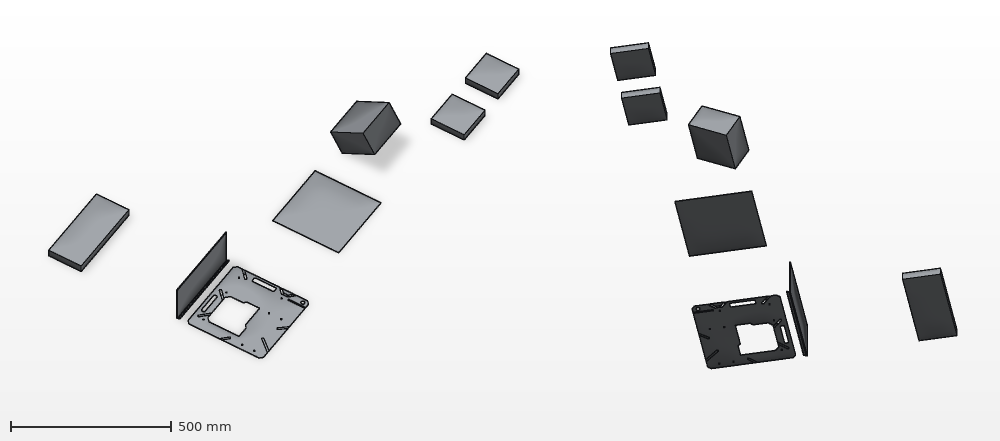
import cadquery as cq
import math

SHEET = 2.0
FAN_SIDE = 120.0

RADIATOR_SIZE = (FAN_SIDE, 275.0, 27.0)

FAN_HEIGHT = 25.0
FANS_END_Y = 1420
FAN_GAP = 78.0
FAR_FAN_X = 709.0
NEAR_FAN_X = 710
NEAR_FAN_WIDTH = 122.0

PANEL_X = 474.0
PANEL_THICKNESS = 3.0
PANEL_LENGTH = 284
PANEL_HEIGHT = 135.0
STRIP_WIDTH = 10.0
STRIP_THICKNESS = 3.0
STRIP_SLOPE = 29

TRAY_X = 510.0
TRAY_SIDE = 280.0
TRAY_CORNER = 10.0

BOARD_SIDE = 244.0
BOARD_Y = 498.0

SUPPLY_LENGTH = 139.0
SUPPLY_DEPTH = 150.0
SUPPLY_HEIGHT = 87.0
SUPPLY_TILT = 30
SUPPLY_X = 498.0
SUPPLY_Y = 849.0

SCREW_DIAMETER = 4.0
SCREW_LEFT, SCREW_MIDDLE, SCREW_RIGHT = 38.0, 196.0, 241.0
SCREW_TOP = 244.0
SCREW_UPPER = 172.0
SCREW_LOWER = 40.0
SCREW_BOTTOM = 17.0
SCREW_POINTS = [
    (SCREW_LEFT, SCREW_TOP),
    (SCREW_MIDDLE, SCREW_TOP),
    (SCREW_LEFT, SCREW_UPPER),
    (SCREW_MIDDLE, SCREW_UPPER),
    (SCREW_RIGHT, SCREW_UPPER),
    (SCREW_LEFT, SCREW_LOWER),
    (SCREW_MIDDLE, SCREW_BOTTOM),
    (SCREW_RIGHT, SCREW_BOTTOM),
]

CORNER_HOLE_DIAMETER = 12.0
CORNER_HOLE_POINT = (261.0, 265.0)

EDGE_SLIT_WIDTH = 4.0
EDGE_SLIT_START = 216.0
EDGE_SLIT_Y = 251.0

HANDLE_ROUND = 4.0
TOP_HANDLE = (80.0, 254.0, 81.0, 17.0)
SIDE_HANDLE = (11.0, 67.0, 13.0, 77.0)

WINDOW_LEFT, WINDOW_RIGHT = 45.0, 169.0
WINDOW_NEAR, WINDOW_FAR = 41.0, 173.0
WINDOW_STEP = 9.0
WINDOW_CORNER = 13.0
FAR_STEP_X = 105.0
RIGHT_STEP_Y = 82.0

GROOVE_WIDTH = 7.0
GROOVE_DEPTH = SHEET / 2
OPEN_LENGTH = 18.0
FORK_LEFT_END = (187.0, 263.0)
FORK_RIGHT_END = (207.0, 263.0)
GROOVES = [
    ((58.0, 253.0), 135, 45.0, True),
    ((18.0, 169.0), -45, 43.0, True),
    (FORK_LEFT_END, 135, 34.0, True),
    (FORK_RIGHT_END, 45, 34.0, True),
    (FORK_LEFT_END, 0, FORK_RIGHT_END[0] - FORK_LEFT_END[0], False),
    ((18.0, 44.0), 45, 43.0, False),
    ((148.0, 20.0), -135, 37.0, False),
    ((254.0, 133.0), 40, 43.0, False),
    ((237.0, 72.0), -40, 65.0, False),
]


def block(corner, size):
    """A box given by its lowest corner and its size."""
    return cq.Workplane("XY").box(*size, centered=False).translate(corner)


def make_fan(x, y, width):
    return block((x, y, 0), (width, FAN_SIDE, FAN_HEIGHT))


def make_tilted_block(x, y, length, depth, height, tilt):
    """A box turned up about its lowest edge, with its leftmost edge at x."""
    lowest_edge_x = x + height * math.sin(math.radians(tilt))
    flat = block((0, 0, 0), (length, depth, height))
    return flat.rotate((0, 0, 0), (0, 1, 0), -tilt).translate((lowest_edge_x, y, 0))


def groove_cut(end, direction, length, depth):
    """A cutter with one round end, sunk from the top of the sheet."""
    radius = GROOVE_WIDTH / 2
    cutter = (
        cq.Workplane("XY")
        .moveTo(0, radius)
        .threePointArc((-radius, 0), (0, -radius))
        .lineTo(length, -radius)
        .lineTo(length, radius)
        .close()
        .extrude(depth)
    )
    turned = cutter.rotate((0, 0, 0), (0, 0, 1), direction)
    return turned.translate((*end, SHEET - depth))


def handle_cut(left, near, length, width):
    return block((left, near, 0), (length, width, SHEET)).edges("|Z").fillet(HANDLE_ROUND)


def window_outline():
    return [
        (WINDOW_LEFT + WINDOW_CORNER, WINDOW_NEAR),
        (WINDOW_RIGHT, WINDOW_NEAR),
        (WINDOW_RIGHT, RIGHT_STEP_Y),
        (WINDOW_RIGHT - WINDOW_STEP, RIGHT_STEP_Y + WINDOW_STEP),
        (WINDOW_RIGHT - WINDOW_STEP, WINDOW_FAR),
        (FAR_STEP_X + WINDOW_STEP, WINDOW_FAR),
        (FAR_STEP_X, WINDOW_FAR - WINDOW_STEP),
        (WINDOW_LEFT + WINDOW_CORNER, WINDOW_FAR - WINDOW_STEP),
        (WINDOW_LEFT, WINDOW_FAR - WINDOW_STEP - WINDOW_CORNER),
        (WINDOW_LEFT, WINDOW_NEAR + WINDOW_CORNER),
    ]


def make_tray():
    tray = block((0, 0, 0), (TRAY_SIDE, TRAY_SIDE, SHEET)).edges("|Z").chamfer(TRAY_CORNER)

    tray = tray.cut(cq.Workplane("XY").polyline(window_outline()).close().extrude(SHEET))
    for handle in (TOP_HANDLE, SIDE_HANDLE):
        tray = tray.cut(handle_cut(*handle))

    screws = cq.Workplane("XY").pushPoints(SCREW_POINTS).circle(SCREW_DIAMETER / 2).extrude(SHEET)
    corner_hole = (
        cq.Workplane("XY").center(*CORNER_HOLE_POINT).circle(CORNER_HOLE_DIAMETER / 2).extrude(SHEET)
    )
    tray = tray.cut(screws).cut(corner_hole)

    slit_size = (TRAY_SIDE - EDGE_SLIT_START, EDGE_SLIT_WIDTH, SHEET)
    tray = tray.cut(block((EDGE_SLIT_START, EDGE_SLIT_Y - EDGE_SLIT_WIDTH / 2, 0), slit_size))

    for end, direction, length, has_opening in GROOVES:
        tray = tray.cut(groove_cut(end, direction, length, GROOVE_DEPTH))
        if has_opening:
            tray = tray.cut(groove_cut(end, direction, OPEN_LENGTH, SHEET))

    return tray.translate((TRAY_X, 0, 0))


radiator = block((0, 0, 0), RADIATOR_SIZE)

far_fan_y = FANS_END_Y - FAN_SIDE
near_fan_y = far_fan_y - FAN_GAP - FAN_SIDE
fans = [
    make_fan(x, y, width)
    for x, y, width in (
        (FAR_FAN_X, far_fan_y, FAN_SIDE),
        (NEAR_FAN_X, near_fan_y, NEAR_FAN_WIDTH),
    )
]

panel = block((PANEL_X, 0, 0), (PANEL_THICKNESS, PANEL_LENGTH, PANEL_HEIGHT))
strip = make_tilted_block(
    PANEL_X + PANEL_THICKNESS, 0, STRIP_WIDTH, PANEL_LENGTH, STRIP_THICKNESS, STRIP_SLOPE
)

tray = make_tray()
board = block((TRAY_X, BOARD_Y, 0), (BOARD_SIDE, BOARD_SIDE, SHEET))
power_supply = make_tilted_block(
    SUPPLY_X, SUPPLY_Y, SUPPLY_LENGTH, SUPPLY_DEPTH, SUPPLY_HEIGHT, SUPPLY_TILT
)

result = cq.Compound.makeCompound(
    [
        radiator.val(),
        *[fan.val() for fan in fans],
        panel.val(),
        strip.val(),
        tray.val(),
        board.val(),
        power_supply.val(),
    ]
)